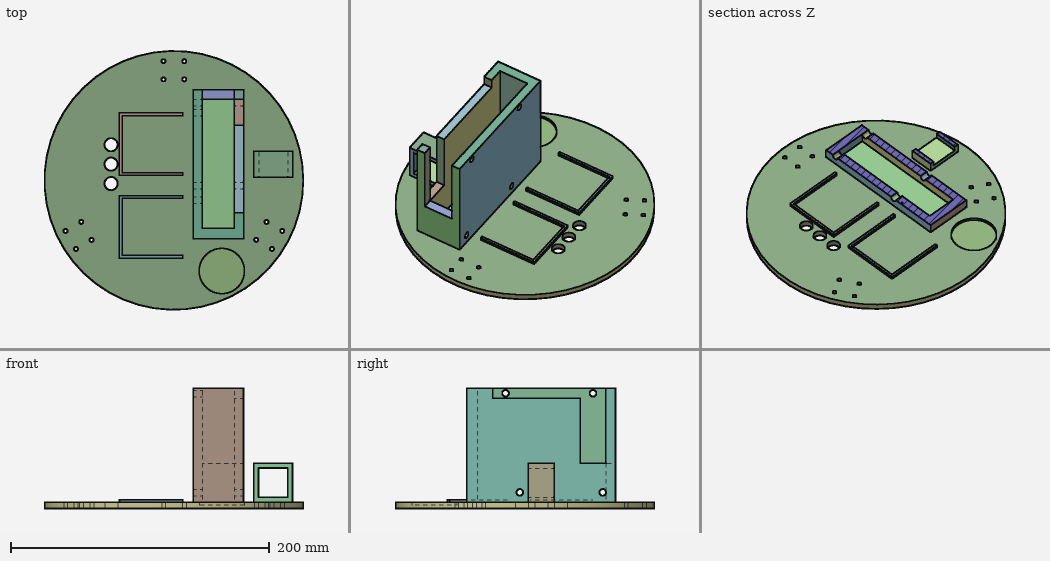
import cadquery as cq

PLATE_DIAMETER = 200
PLATE_THICKNESS = 5

MOUNT_GROUPS = 3
MOUNT_HOLE_DIAMETER = 3
MOUNT_CENTRE_RADIUS = 85
MOUNT_SPACING_TANGENTIAL = 16
MOUNT_SPACING_RADIAL = 14

CABLE_HOLE_DIAMETER = 10
CABLE_HOLE_X = -48.5
CABLE_HOLE_FIRST_Y = -2.5
CABLE_HOLE_PITCH = 15
CABLE_HOLE_COUNT = 3

RECESS_DIAMETER = 35
RECESS_DEPTH = 2
RECESS_CENTRE = (37, -70)

FRAME_LEFT_X = -42
FRAME_LENGTH = 49
FRAME_WIDTH = 48
FRAME_RIB = 2
FRAME_HEIGHT = 2
FRAME_CENTRES_Y = (28, -36)

HOUSING_X = 14.8
HOUSING_Y = -45
HOUSING_LENGTH_X = 39
HOUSING_LENGTH_Y = 115
HOUSING_HEIGHT = 88
SIDE_WALL = 7
FRONT_WALL = 8
BACK_WALL = 7.5
LOW_RIM_HEIGHT = 30
SLOT_WIDTH = 20
NOTCH_LENGTH = 67.5
NOTCH_DEPTH = 8

BOARD_HOLE_DIAMETER = 5
BOARD_HOLES = ((52.5, 89), (-15, 89), (60, 12.5), (-4, 12.5))

TUBE_X = 61.6
TUBE_Y = 2.5
TUBE_SIDE = 30
TUBE_WALL = 3.75
TUBE_LENGTH = 20

plate_top = PLATE_THICKNESS
housing_right = HOUSING_X + HOUSING_LENGTH_X
housing_top = plate_top + HOUSING_HEIGHT
cavity_x = HOUSING_X + SIDE_WALL
cavity_y = HOUSING_Y + FRONT_WALL
cavity_length_x = HOUSING_LENGTH_X - 2 * SIDE_WALL
cavity_length_y = HOUSING_LENGTH_Y - FRONT_WALL - BACK_WALL
cavity_back = cavity_y + cavity_length_y
right_wall_x = housing_right - SIDE_WALL


def block(x, y, z, length_x, length_y, height):
    """Box with its lowest corner at (x, y, z)."""
    return cq.Workplane("XY").box(length_x, length_y, height, centered=False).translate((x, y, z))


def make_plate():
    plate = cq.Workplane("XY").circle(PLATE_DIAMETER / 2).extrude(PLATE_THICKNESS)

    mount_group = (
        cq.Workplane("XY")
        .center(0, MOUNT_CENTRE_RADIUS)
        .rarray(MOUNT_SPACING_TANGENTIAL, MOUNT_SPACING_RADIAL, 2, 2)
        .circle(MOUNT_HOLE_DIAMETER / 2)
        .extrude(PLATE_THICKNESS)
    )
    for group in range(MOUNT_GROUPS):
        angle = group * 360 / MOUNT_GROUPS
        plate = plate.cut(mount_group.rotate((0, 0, 0), (0, 0, 1), angle))

    cable_centres = [
        (CABLE_HOLE_X, CABLE_HOLE_FIRST_Y + i * CABLE_HOLE_PITCH) for i in range(CABLE_HOLE_COUNT)
    ]
    cable_holes = (
        cq.Workplane("XY").pushPoints(cable_centres).circle(CABLE_HOLE_DIAMETER / 2).extrude(PLATE_THICKNESS)
    )
    recess = (
        cq.Workplane("XY", origin=(0, 0, plate_top - RECESS_DEPTH))
        .center(*RECESS_CENTRE)
        .circle(RECESS_DIAMETER / 2)
        .extrude(RECESS_DEPTH)
    )
    return plate.cut(cable_holes).cut(recess)


def make_frame(centre_y):
    bottom_y = centre_y - FRAME_WIDTH / 2
    outer = block(FRAME_LEFT_X, bottom_y, plate_top, FRAME_LENGTH, FRAME_WIDTH, FRAME_HEIGHT)
    inner = block(
        FRAME_LEFT_X + FRAME_RIB,
        bottom_y + FRAME_RIB,
        plate_top,
        FRAME_LENGTH - FRAME_RIB,
        FRAME_WIDTH - 2 * FRAME_RIB,
        FRAME_HEIGHT,
    )
    return outer.cut(inner)


def make_housing():
    housing = block(HOUSING_X, HOUSING_Y, plate_top, HOUSING_LENGTH_X, HOUSING_LENGTH_Y, HOUSING_HEIGHT)
    cavity = block(cavity_x, cavity_y, plate_top, cavity_length_x, cavity_length_y, HOUSING_HEIGHT)

    rim_z = plate_top + LOW_RIM_HEIGHT
    cut_height = HOUSING_HEIGHT - LOW_RIM_HEIGHT
    back_opening = block(cavity_x, cavity_back, rim_z, cavity_length_x, BACK_WALL, cut_height)
    slot_y = cavity_back - SLOT_WIDTH
    side_slot = block(right_wall_x, slot_y, rim_z, SIDE_WALL, SLOT_WIDTH, cut_height)

    notch = block(
        right_wall_x, slot_y - NOTCH_LENGTH, housing_top - NOTCH_DEPTH, SIDE_WALL, NOTCH_LENGTH, NOTCH_DEPTH
    )

    board_holes = (
        cq.Workplane("YZ", origin=(HOUSING_X, 0, 0))
        .pushPoints(BOARD_HOLES)
        .circle(BOARD_HOLE_DIAMETER / 2)
        .extrude(HOUSING_LENGTH_X)
    )
    return housing.cut(cavity).cut(back_opening).cut(side_slot).cut(notch).cut(board_holes)


def make_tube():
    outer = block(TUBE_X, TUBE_Y, plate_top, TUBE_SIDE, TUBE_LENGTH, TUBE_SIDE)
    bore_side = TUBE_SIDE - 2 * TUBE_WALL
    bore = block(TUBE_X + TUBE_WALL, TUBE_Y, plate_top + TUBE_WALL, bore_side, TUBE_LENGTH, bore_side)
    return outer.cut(bore)


result = make_plate().union(make_housing()).union(make_tube())
for frame_centre_y in FRAME_CENTRES_Y:
    result = result.union(make_frame(frame_centre_y))